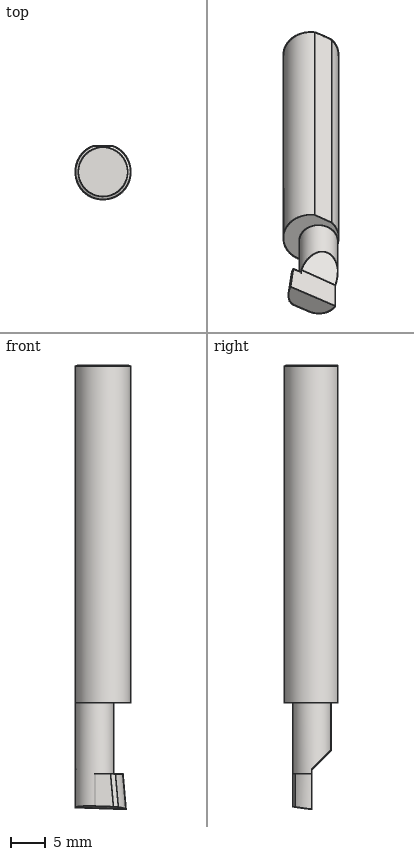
import cadquery as cq
import math

length = 63.5
shank_diameter = 7.95
shank_radius = shank_diameter / 2
shank_bottom = 15.25
width_over_flat = 7.7
flat_y = width_over_flat - shank_radius
chamfer_width = 0.45
chamfer_height = 0.2

neck_diameter = 5.5
neck_radius = neck_diameter / 2
neck_x = neck_radius - shank_radius
ramp_end = 5.7

tooth_top = 5.1
tip_x = 3.3
flank_x = 2.2
heel_x = 1.5
flank_y = -2.4
flank_relief = 0.45
end_relief_x = 2.0
end_relief_y = 7.0

cut_size = 2 * shank_diameter


def make_shank():
    """Round bar with a chamfered top end and a flat along its full length."""
    rim_radius = shank_radius - chamfer_width
    bar = (
        cq.Workplane("XZ")
        .moveTo(0, shank_bottom)
        .lineTo(shank_radius, shank_bottom)
        .lineTo(shank_radius, length - chamfer_height)
        .lineTo(rim_radius, length)
        .lineTo(0, length)
        .close()
        .revolve(360, (0, 0), (0, 1))
    )
    beyond_flat = cq.Workplane().box(cut_size, cut_size, length, centered=(True, False, False))
    return bar.cut(beyond_flat.translate((0, flat_y, 0)))


def make_neck():
    """Offset round neck, cut to its -Y half below a 45 degree ramp."""
    neck = cq.Workplane().center(neck_x, 0).circle(neck_radius).extrude(shank_bottom)
    chip_space = (
        cq.Workplane("YZ")
        .polyline([(0, 0), (cut_size, 0), (cut_size, ramp_end + cut_size), (0, ramp_end)])
        .close()
        .extrude(cut_size, both=True)
    )
    return neck.cut(chip_space)


def tooth_section(z, shift):
    """Closed outline of the tooth at height z, its flank moved by shift toward -X."""
    flank_direction = cq.Vector(1, 1, 0)
    heel = cq.Vector(heel_x - shift, -neck_radius, z)
    flank = cq.Vector(flank_x - shift, flank_y, z)
    tip = cq.Vector(tip_x - shift, 0, z)
    root = cq.Vector(neck_x, 0, z)
    start = cq.Vector(neck_x, -neck_radius, z)
    return cq.Wire.assembleEdges([
        cq.Edge.makeLine(start, heel),
        cq.Edge.makeLine(heel, flank),
        cq.Edge.makeTangentArc(flank, flank_direction, tip),
        cq.Edge.makeLine(tip, root),
        cq.Edge.makeLine(root, start),
    ])


def make_tooth():
    """Tooth whose flank recedes upward from the cutting corner."""
    bottom = tooth_section(0, 0)
    top = tooth_section(tooth_top, flank_relief)
    return cq.Workplane(cq.Solid.makeLoft([bottom, top], True))


def below_end_face():
    """Block under the end face, which is inclined away from the cutting corner."""
    normal = (math.tan(math.radians(end_relief_x)), math.tan(math.radians(end_relief_y)), 1)
    end_plane = cq.Plane(origin=(tip_x, 0, 0), normal=normal)
    return cq.Workplane(end_plane).rect(2 * cut_size, 2 * cut_size).extrude(-cut_size)


result = make_shank().union(make_neck()).union(make_tooth()).cut(below_end_face())